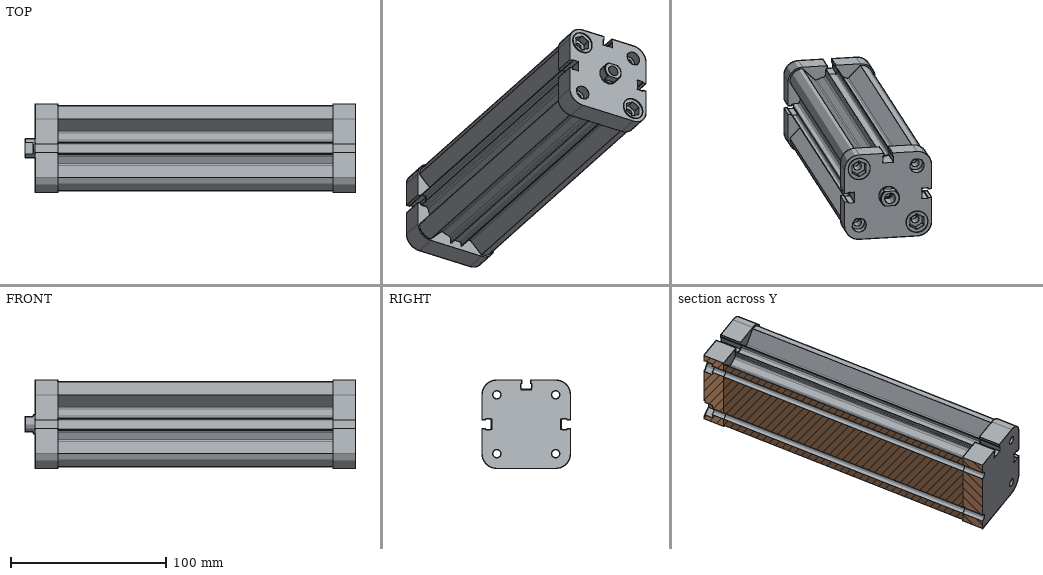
import cadquery as cq
import math

total_length = 213.0
rod_reach = 6.5
cap_thickness = 14.7
barrel_start = rod_reach + cap_thickness
barrel_length = total_length - rod_reach - 2 * cap_thickness

cap_half = 28.5
cap_corner_radius = 9.5
corner_center = cap_half - cap_corner_radius
bolt_hole_diameter = 5.1

cap_slot_width = 5.8
cap_slot_depth = 6.4
cap_slot_lip = 2.3
cap_slot_inner_width = 7.0
bolt_recess_width = 9.2
bolt_recess_depth = 6.2
spot_face_diameter = 14.3
spot_face_depth = 0.6

barrel_corner_radius = 8.5
tube_radius = 21.7
valley_fillet = 1.0
rail_outer_width = 8.3
rail_top = 25.8
rail_round = 0.2
rail_base_fillet = 1.5
rail_slot_width = 7.0
rail_slot_round = 0.9
rail_slot_floor = 22.8

rod_diameter = 12.4
rod_tip_chamfer = 0.5
flat_width = 9.8
flat_length = 5.1
flat_end_slope = 0.5
thread_diameter = 6.8
thread_depth = 10.6
drill_diameter = 5.8
drill_depth = 12.8
drill_point_angle = 118.0

tolerance = 0.002

SIDE_ANGLES = (0, 90, 180, 270)
CORNER_ANGLE = 45
HEX_HALF_ANGLE = 30
CAP_SLOT_ANGLES = (0, 90, 270)
HEX_CORNERS = [(-corner_center, -corner_center), (corner_center, corner_center)]
ROUND_CORNERS = [(-corner_center, corner_center), (corner_center, -corner_center)]


def section_at(x):
    """Sketch plane across the axis, with local x along +Y and local y along +Z."""
    return cq.Workplane("YZ", origin=(x, 0, 0))


def box_on_top(x, length, width, bottom, top):
    """Lengthwise bar centred on Y = 0, between two heights."""
    center_z = (bottom + top) / 2
    return section_at(x).center(0, center_z).rect(width, top - bottom).extrude(length)


def turned(shape, angle):
    return shape.rotate((0, 0, 0), (1, 0, 0), angle)


def bolt_holes(x, length):
    corners = HEX_CORNERS + ROUND_CORNERS
    return section_at(x).pushPoints(corners).circle(bolt_hole_diameter / 2).extrude(length)


def cap_blank(x):
    """Rounded square plate with bolt holes and stepped sensor slots."""
    cap = section_at(x).rect(2 * cap_half, 2 * cap_half).extrude(cap_thickness)
    cap = cap.edges("|X").fillet(cap_corner_radius)
    cap = cap.cut(bolt_holes(x, cap_thickness))
    floor = cap_half - cap_slot_depth
    mouth = box_on_top(x, cap_thickness, cap_slot_width, floor, cap_half)
    inner = box_on_top(x, cap_thickness, cap_slot_inner_width, floor, cap_half - cap_slot_lip)
    slot = mouth.union(inner)
    for angle in CAP_SLOT_ANGLES:
        cap = cap.cut(turned(slot, angle))
    return cap


def make_front_cap():
    cap = cap_blank(rod_reach)
    face = section_at(rod_reach)
    cap = cap.cut(face.circle(rod_diameter / 2).extrude(cap_thickness))
    cap = cap.cut(face.pushPoints(ROUND_CORNERS).circle(bolt_recess_width / 2).extrude(bolt_recess_depth))
    cap = cap.cut(face.pushPoints(HEX_CORNERS).circle(spot_face_diameter / 2).extrude(spot_face_depth))
    hex_diameter = bolt_recess_width / math.cos(math.radians(HEX_HALF_ANGLE))
    for y, z in HEX_CORNERS:
        socket = face.polygon(6, hex_diameter).extrude(bolt_recess_depth)
        cap = cap.cut(turned(socket, HEX_HALF_ANGLE).translate((0, y, z)))
    return cap


def make_rear_cap():
    return cap_blank(total_length - cap_thickness)


def barrel_corner():
    """Lobe round one bolt hole, with both flanks running inward at 45 degrees."""
    outer = corner_center + barrel_corner_radius
    inner = outer - corner_center
    arc_middle = corner_center + barrel_corner_radius * math.cos(math.radians(CORNER_ANGLE))
    profile = (
        section_at(barrel_start)
        .moveTo(corner_center, outer)
        .threePointArc((arc_middle, arc_middle), (outer, corner_center))
        .lineTo(inner, 0)
        .lineTo(0, inner)
        .close()
    )
    return profile.extrude(barrel_length)


def rail_slot():
    """Straight groove along the middle of one rail, with rounded floor corners."""
    groove = box_on_top(barrel_start, barrel_length, rail_slot_width, rail_slot_floor, rail_top)
    return groove.edges("|X and <Z").fillet(rail_slot_round)


def lies_on_tube(edge):
    middle = edge.Center()
    return math.isclose(math.hypot(middle.y, middle.z), tube_radius, abs_tol=tolerance)


def is_rail_base(edge):
    middle = edge.Center()
    from_rail_middle = min(abs(middle.y), abs(middle.z))
    return lies_on_tube(edge) and math.isclose(from_rail_middle, rail_outer_width / 2, abs_tol=tolerance)


def make_barrel():
    barrel = section_at(barrel_start).circle(tube_radius).extrude(barrel_length)
    barrel = turned(barrel, CORNER_ANGLE)
    for angle in SIDE_ANGLES:
        barrel = barrel.union(turned(barrel_corner(), angle))
    barrel = barrel.edges("|X").filter(lies_on_tube).fillet(valley_fillet)

    rail = box_on_top(barrel_start, barrel_length, rail_outer_width, 0, rail_top)
    rail = rail.edges("|X and >Z").fillet(rail_round)
    for angle in SIDE_ANGLES:
        barrel = barrel.union(turned(rail, angle))
    barrel = barrel.edges("|X").filter(is_rail_base).fillet(rail_base_fillet)
    for angle in SIDE_ANGLES:
        barrel = barrel.cut(turned(rail_slot(), angle))
    return barrel.cut(bolt_holes(barrel_start, barrel_length))


def make_rod():
    """Rod with two wrench flats above and below and a drilled thread hole in its tip."""
    radius = rod_diameter / 2
    rod = section_at(0).circle(radius).extrude(barrel_start).faces("<X").chamfer(rod_tip_chamfer)
    flat_cut = (
        cq.Workplane("XZ")
        .moveTo(0, flat_width / 2)
        .lineTo(flat_length, flat_width / 2)
        .lineTo(flat_length + flat_end_slope, radius)
        .lineTo(0, radius)
        .close()
        .extrude(radius, both=True)
    )
    for angle in (0, 180):
        rod = rod.cut(turned(flat_cut, angle))
    thread_radius = thread_diameter / 2
    drill_radius = drill_diameter / 2
    point_length = drill_radius / math.tan(math.radians(drill_point_angle / 2))
    hole = (
        cq.Workplane("XZ")
        .lineTo(0, thread_radius)
        .lineTo(thread_depth, thread_radius)
        .lineTo(thread_depth, drill_radius)
        .lineTo(drill_depth, drill_radius)
        .lineTo(drill_depth + point_length, 0)
        .close()
        .revolve(360, (0, 0, 0), (1, 0, 0))
    )
    return rod.cut(hole)


front_cap = make_front_cap()
rear_cap = make_rear_cap()
barrel = make_barrel()
rod = make_rod()

result = cq.Compound.makeCompound([front_cap.val(), rear_cap.val(), barrel.val(), rod.val()])